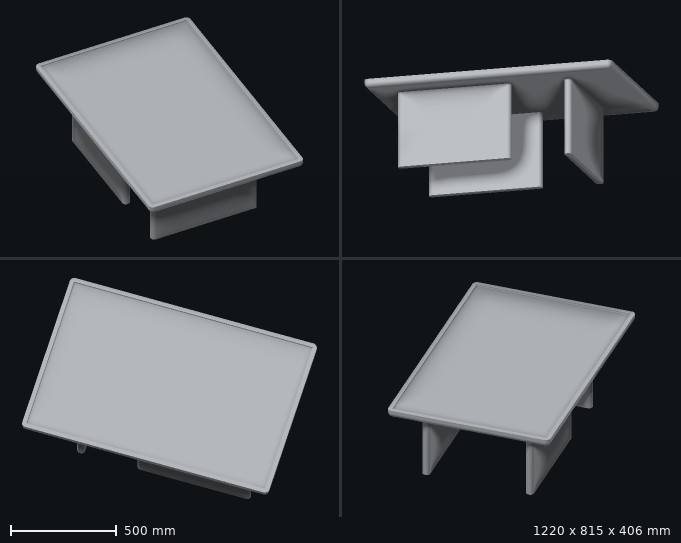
import cadquery as cq

LENGTH = 1220.0
WIDTH = 815.0
HEIGHT = 406.0

TOP_THICKNESS = 40.0
TOP_ROUND_RADIUS = 23.0
RIM_WIDTH = 21.0
RECESS_DEPTH = 7.0
RECESS_FLOOR_RADIUS = 6.0

LEG_THICKNESS = 38.0
LEG_EDGE_RADIUS = 18.0
LEG_HEIGHT = HEIGHT - TOP_THICKNESS
LEG_INSET = 128.0
END_LEG_OUTER_X = 376.0
LEG_SPAN = WIDTH - 2 * LEG_INSET

long_leg_x = -LENGTH / 2 + LEG_INSET + LEG_SPAN / 2
long_leg_y = (LEG_SPAN - LEG_THICKNESS) / 2
end_leg_x = END_LEG_OUTER_X - LEG_THICKNESS / 2


def make_recess():
    """Shallow tray in the upper face, rounded where its walls meet the floor."""
    return (
        cq.Workplane("XY", origin=(0, 0, HEIGHT - RECESS_DEPTH))
        .box(LENGTH - 2 * RIM_WIDTH, WIDTH - 2 * RIM_WIDTH, RECESS_DEPTH, centered=(True, True, False))
        .faces("<Z")
        .edges()
        .fillet(RECESS_FLOOR_RADIUS)
    )


def make_table_top():
    """Slab with rounded corners, a rounded lower edge and a tray on top."""
    slab = (
        cq.Workplane("XY", origin=(0, 0, LEG_HEIGHT))
        .box(LENGTH, WIDTH, TOP_THICKNESS, centered=(True, True, False))
        .edges("|Z")
        .fillet(TOP_ROUND_RADIUS)
        .faces("<Z")
        .edges()
        .fillet(TOP_ROUND_RADIUS)
    )
    return slab.cut(make_recess())


def make_leg(x, y, angle):
    """Upright panel with rounded vertical edges, turned about Z by the given angle.

    The rounds leave only a narrow flat strip along the middle of each end.
    """
    panel = (
        cq.Workplane("XY")
        .box(LEG_SPAN, LEG_THICKNESS, LEG_HEIGHT, centered=(True, True, False))
        .edges("|Z")
        .fillet(LEG_EDGE_RADIUS)
    )
    return panel.val().rotate((0, 0, 0), (0, 0, 1), angle).translate((x, y, 0))


LEG_PLACES = [
    (long_leg_x, -long_leg_y, 0),
    (long_leg_x, long_leg_y, 0),
    (end_leg_x, 0, 90),
]

table_top = make_table_top()
legs = [make_leg(x, y, angle) for x, y, angle in LEG_PLACES]

result = cq.Compound.makeCompound([table_top.val(), *legs])